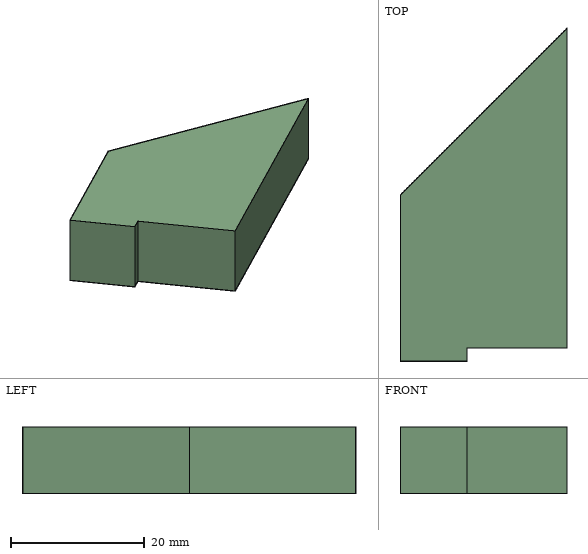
import cadquery as cq

width = 25.0
length = 50.0
thickness = 10.0
tab_width = 10.0
tab_depth = 2.0
slope_start = length - width

outline = [
    (0, 0),
    (tab_width, 0),
    (tab_width, tab_depth),
    (width, tab_depth),
    (width, length),
    (0, slope_start),
]

result = cq.Workplane("XY").polyline(outline).close().extrude(thickness)